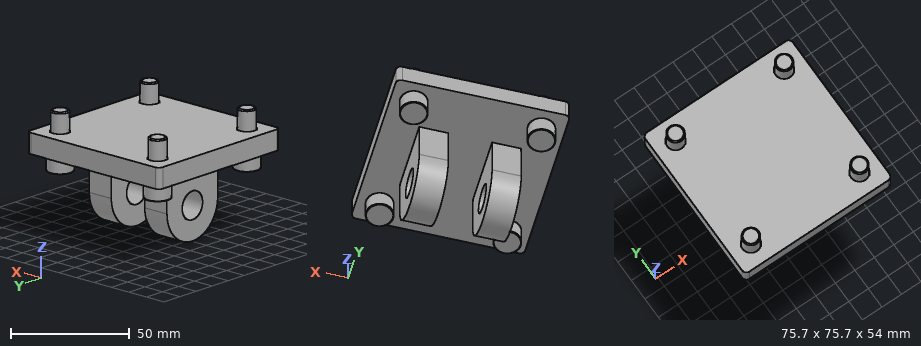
import cadquery as cq

PLATE_SIZE = 75.7
PLATE_THICKNESS = 9.5
CORNER_RADIUS = 2.3

LUG_THICKNESS = 12.7
LUG_GAP = 19.1
LUG_RADIUS = 15.9
LUG_EYE_DROP = 19.1
LUG_HOLE_DIAMETER = 12.7

SCREW_SPACING = 55.7
SHANK_DIAMETER = 8.0
SHANK_PROJECTION = 9.45
TIP_CHAMFER = 0.6
HEAD_DIAMETER = 11.95
HEAD_HEIGHT = 7.9
HEAD_CHAMFER = 0.3
CLEARANCE_HOLE_DIAMETER = 8.6

half_spacing = SCREW_SPACING / 2
SCREW_POINTS = [(x, y) for x in (-half_spacing, half_spacing) for y in (-half_spacing, half_spacing)]


def make_lug(x_start):
    """Round-ended lug with a cross hole along X, starting at x_start."""
    lug = (
        cq.Workplane("YZ", origin=(x_start, 0, 0))
        .moveTo(-LUG_RADIUS, 0)
        .lineTo(-LUG_RADIUS, -LUG_EYE_DROP)
        .threePointArc((0, -LUG_EYE_DROP - LUG_RADIUS), (LUG_RADIUS, -LUG_EYE_DROP))
        .lineTo(LUG_RADIUS, 0)
        .close()
        .extrude(LUG_THICKNESS)
    )
    eye = (
        cq.Workplane("YZ", origin=(x_start, 0, -LUG_EYE_DROP))
        .circle(LUG_HOLE_DIAMETER / 2)
        .extrude(LUG_THICKNESS)
    )
    return lug.cut(eye)


def make_bracket():
    """Square plate with rounded corners, four clearance holes and two lugs."""
    plate = (
        cq.Workplane("XY")
        .rect(PLATE_SIZE, PLATE_SIZE)
        .extrude(PLATE_THICKNESS)
        .edges("|Z")
        .fillet(CORNER_RADIUS)
    )
    holes = (
        cq.Workplane("XY")
        .pushPoints(SCREW_POINTS)
        .circle(CLEARANCE_HOLE_DIAMETER / 2)
        .extrude(PLATE_THICKNESS)
    )
    left_lug = make_lug(-LUG_GAP / 2 - LUG_THICKNESS)
    right_lug = make_lug(LUG_GAP / 2)
    return plate.cut(holes).union(left_lug).union(right_lug)


def make_screw(x, y):
    """Cylinder-head screw whose head bears on the underside of the plate."""
    head = (
        cq.Workplane("XY", origin=(x, y, -HEAD_HEIGHT))
        .circle(HEAD_DIAMETER / 2)
        .extrude(HEAD_HEIGHT)
        .faces("<Z")
        .chamfer(HEAD_CHAMFER)
    )
    shank = (
        cq.Workplane("XY", origin=(x, y, 0))
        .circle(SHANK_DIAMETER / 2)
        .extrude(PLATE_THICKNESS + SHANK_PROJECTION)
        .faces(">Z")
        .chamfer(TIP_CHAMFER)
    )
    return head.union(shank)


bracket = make_bracket()
screws = [make_screw(x, y).val() for x, y in SCREW_POINTS]

result = cq.Compound.makeCompound([bracket.val(), *screws])